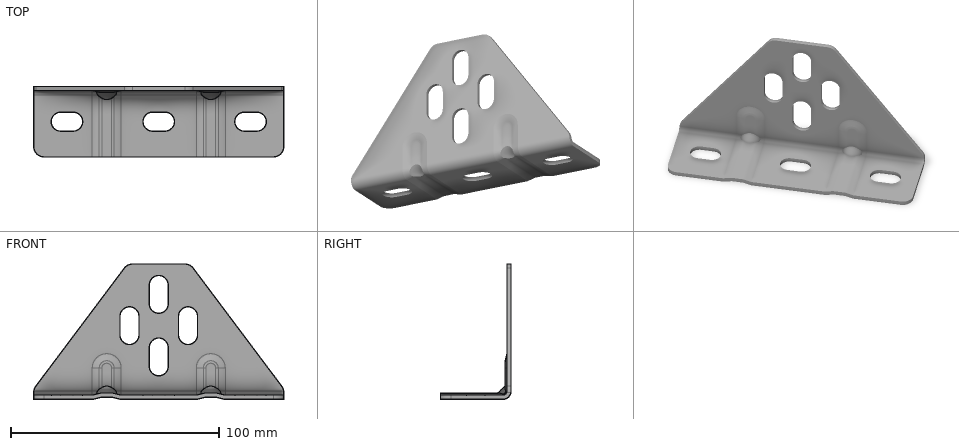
import cadquery as cq
import math

length = 120.0
depth = 34.0
height = 65.0
sheet = 2.0
inner_bend = 2.0
outer_bend = inner_bend + sheet

corner_radius = 5.0
top_edge_length = 30.0
slope_start_height = 5.0

slot_width = 9.0
wall_slot_length = 18.0
wall_slot_height = 35.4
wall_slot_pitch_x = 14.0
wall_slot_pitch_z = 15.0
flange_slot_length = 15.0
flange_slot_pitch = 44.0

bead_offset = 25.0
bead_base_half = 7.0
bead_top_half = 3.0
bead_rise = 1.0
bead_edge_radius = 5.0
bead_end_height = 15.0
bead_face = sheet + bead_rise
bead_angle = math.atan(bead_rise / (bead_base_half - bead_top_half))

dart_radius = 6.0
dart_leg = 3.4
dart_half_length = 4 * dart_leg


def bent_sheet():
    """L-shaped sheet with concentric bend radii, running the full length."""
    profile = (
        cq.Workplane("YZ")
        .moveTo(0, height)
        .lineTo(0, outer_bend)
        .radiusArc((-outer_bend, 0), outer_bend)
        .lineTo(-depth, 0)
        .lineTo(-depth, sheet)
        .lineTo(-outer_bend, sheet)
        .radiusArc((-sheet, outer_bend), -inner_bend)
        .lineTo(-sheet, height)
        .close()
    )
    return profile.extrude(length / 2, both=True)


def wall_outline():
    """Tapered outline of the wall, extruded through the whole depth."""
    half_top = top_edge_length / 2
    outline = (
        cq.Workplane("XZ")
        .polyline([
            (-length / 2, 0),
            (length / 2, 0),
            (length / 2, slope_start_height),
            (half_top, height),
            (-half_top, height),
            (-length / 2, slope_start_height),
        ])
        .close()
        .extrude(depth)
    )
    above_base = cq.selectors.BoxSelector(
        (-length, -depth, slope_start_height / 2),
        (length, depth, 2 * height),
    )
    return outline.edges("|Y").edges(above_base).fillet(corner_radius)


def flange_outline():
    """Outline of the flange with rounded front corners, extruded through the whole height."""
    block = cq.Workplane("XY").box(length, depth, height, centered=(True, False, False))
    return block.translate((0, -depth, 0)).edges("|Z and <Y").fillet(corner_radius)


def wall_slots():
    """Four upright slots in a diamond pattern."""
    centers = [
        (0, wall_slot_height - wall_slot_pitch_z),
        (0, wall_slot_height + wall_slot_pitch_z),
        (-wall_slot_pitch_x, wall_slot_height),
        (wall_slot_pitch_x, wall_slot_height),
    ]
    return (
        cq.Workplane("XZ")
        .pushPoints(centers)
        .slot2D(wall_slot_length, slot_width, 90)
        .extrude(sheet)
    )


def flange_slots():
    """Row of three slots along the middle of the flange."""
    centers = [(i * flange_slot_pitch, -depth / 2) for i in (-1, 0, 1)]
    return (
        cq.Workplane("XY")
        .pushPoints(centers)
        .slot2D(flange_slot_length, slot_width)
        .extrude(sheet)
    )


def bead_section(plane, inset, floor):
    """Right half of the bead section on a plane whose local X crosses the bead.

    Local Y is the distance from the outer face of the sheet. The section follows the raised
    face moved back by inset along its normal, and is closed at the distance floor.
    """
    edge_shift = inset * math.tan(bead_angle / 2)
    base_half = bead_base_half - edge_shift
    top_half = bead_top_half - edge_shift
    base = sheet - inset
    top = base + bead_rise
    radius = bead_edge_radius - inset
    tangent = radius * math.tan(bead_angle / 2)
    flank_end = (top_half + tangent * math.cos(bead_angle), top - tangent * math.sin(bead_angle))
    return (
        cq.Workplane(plane)
        .moveTo(0, floor)
        .lineTo(base_half, floor)
        .lineTo(base_half, base)
        .lineTo(*flank_end)
        .radiusArc((top_half - tangent, top), -radius)
        .lineTo(0, top)
        .close()
    )


def bead(inset, floor):
    """Bead along the flange, around the bend and up the wall to a round end, centred on X = 0."""
    flange_plane = cq.Plane((0, -outer_bend, 0), xDir=(1, 0, 0), normal=(0, -1, 0))
    wall_plane = cq.Plane((0, 0, bead_end_height), xDir=(1, 0, 0), normal=(0, 0, -1))

    along_flange = bead_section(flange_plane, inset, floor).extrude(depth - outer_bend)
    around_bend = bead_section(flange_plane, inset, floor).revolve(90, (0, outer_bend), (1, outer_bend))
    up_wall = bead_section(wall_plane, inset, floor).extrude(bead_end_height - outer_bend)
    half = along_flange.union(around_bend).union(up_wall)
    round_end = bead_section(wall_plane, inset, floor).revolve(360, (0, 0), (0, 1))
    return half.union(half.mirror("YZ")).union(round_end)


def dart_cylinder(radius):
    """Cylinder lying at 45 degrees across the bend, coaxial for every radius."""
    crest = bead_face + dart_leg / 2
    sink = dart_radius / math.sqrt(2)
    plane = cq.Plane((0, -crest + sink, crest - sink), xDir=(1, 0, 0), normal=(0, 1, 1))
    return cq.Workplane(plane).circle(radius).extrude(dart_half_length, both=True)


def dart():
    """Part of the dart cylinder on the inner side of both legs."""
    inside = cq.Workplane("XY").box(length, depth, height, centered=(True, False, False))
    return dart_cylinder(dart_radius).intersect(inside.translate((0, -depth - sheet, sheet)))


bracket = bent_sheet().intersect(wall_outline()).intersect(flange_outline())
bracket = bracket.cut(wall_slots()).cut(flange_slots())

raised = bead(0, sheet / 2).union(dart())
bead_recess = bead(sheet, -sheet)
dart_recess = dart_cylinder(dart_radius - sheet)

for x in (-bead_offset, bead_offset):
    bracket = bracket.union(raised.translate((x, 0, 0)))
    bracket = bracket.cut(bead_recess.translate((x, 0, 0)))
    bracket = bracket.cut(dart_recess.translate((x, 0, 0)))

result = bracket.solids()